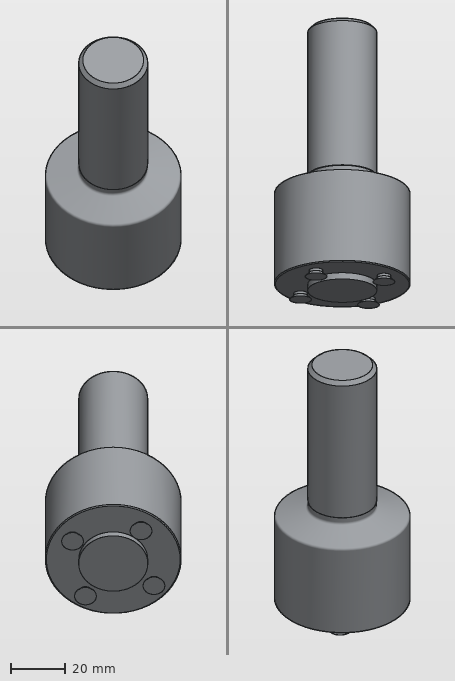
import cadquery as cq
import math

total_height = 102.4
body_bottom = 2.5
body_side_top = 37.6
neck_top = 44.4

body_diameter = 50.0
neck_diameter = 25.1
shank_diameter = 25.4
disc_diameter = 25.4

cone_angle = math.radians(15)
blend_radius = 1

shank_chamfer = 1.5
body_bottom_chamfer = 0.4

foot_spacing = 25.6
foot_neck_diameter = 5.0
foot_base_diameter = 8.0
foot_flare_height = (foot_base_diameter - foot_neck_diameter) / 2


def blend_point(centre, angle):
    """Point on a blend arc, at an angle from the +X direction."""
    return (
        centre[0] + blend_radius * math.cos(angle),
        centre[1] + blend_radius * math.sin(angle),
    )


def make_turned_body():
    """Revolve the half section; the neck widens to the shank at 45 degrees."""
    body_radius = body_diameter / 2
    neck_radius = neck_diameter / 2
    shank_radius = shank_diameter / 2

    normal_angle = math.pi / 2 - cone_angle
    rim_centre = (body_radius - blend_radius, body_side_top)
    rim_end = blend_point(rim_centre, normal_angle)

    root_x = neck_radius + blend_radius
    root_start_x = root_x - blend_radius * math.cos(normal_angle)
    root_start_z = rim_end[1] + (rim_end[0] - root_start_x) * math.tan(cone_angle)
    root_centre = (root_x, root_start_z + blend_radius * math.sin(normal_angle))
    root_start = (root_start_x, root_start_z)
    root_middle_angle = math.pi + normal_angle / 2

    return (
        cq.Workplane("XZ")
        .moveTo(0, body_bottom)
        .lineTo(body_radius - body_bottom_chamfer, body_bottom)
        .lineTo(body_radius, body_bottom + body_bottom_chamfer)
        .lineTo(body_radius, body_side_top)
        .threePointArc(blend_point(rim_centre, normal_angle / 2), rim_end)
        .lineTo(*root_start)
        .threePointArc(blend_point(root_centre, root_middle_angle), (neck_radius, root_centre[1]))
        .lineTo(neck_radius, neck_top)
        .lineTo(shank_radius, neck_top + shank_radius - neck_radius)
        .lineTo(shank_radius, total_height - shank_chamfer)
        .lineTo(shank_radius - shank_chamfer, total_height)
        .lineTo(0, total_height)
        .close()
        .revolve(360, (0, 0), (0, 1))
    )


def make_disc():
    """Central disc below the body, level with the bottom of the feet."""
    return cq.Workplane("XY").circle(disc_diameter / 2).extrude(body_bottom)


def make_feet():
    """Round feet that flare out at 45 degrees towards the bottom."""
    half_section = [
        (0, 0),
        (foot_base_diameter / 2, 0),
        (foot_neck_diameter / 2, foot_flare_height),
        (foot_neck_diameter / 2, body_bottom),
        (0, body_bottom),
    ]
    foot = cq.Workplane("XZ").polyline(half_section).close().revolve(360, (0, 0), (0, 1)).val()
    centres = cq.Workplane("XY").rect(foot_spacing, foot_spacing, forConstruction=True).vertices()
    return centres.eachpoint(lambda place: foot.moved(place), combine=False)


result = make_turned_body().union(make_disc()).union(make_feet())